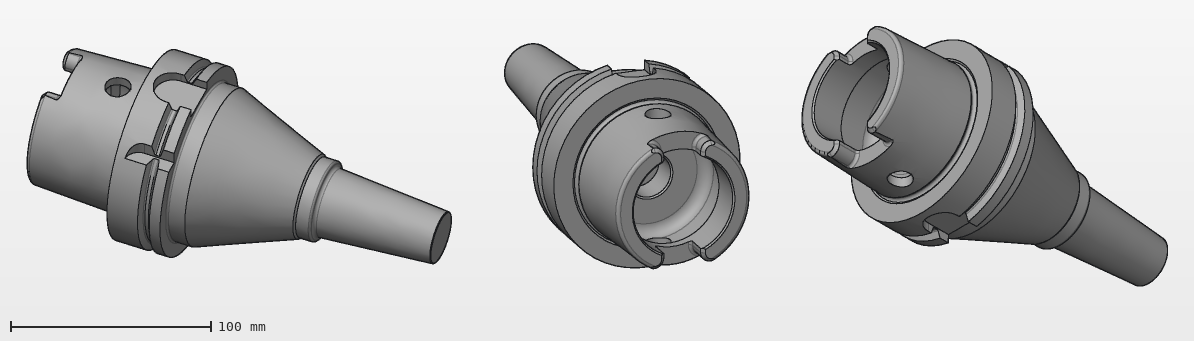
import cadquery as cq
import math

length = 210.0

shank_end_radius = 35.7
shank_base_radius = 37.5
shank_end_round = 1.9

flange_start = 50.0
undercut_start = 47.5
undercut_ramp = 0.8
undercut_depth = 0.6
undercut_face_radius = 39.7
undercut_face_depth = 0.6
undercut_round = 1.7

flange_end = 78.8
flange_radius = 50.0
groove_start = 66.5
groove_end = 72.9
groove_radius = 45.8
groove_wall_run = 1.7
groove_round = 0.8

neck_radius = 41.5
neck_round = 1.0
cone_start = 88.6
cone_end = 139.0
cone_end_radius = 22.3
collar_start = 140.0
collar_end = 148.0
collar_radius = 21.2
collar_round = 1.15
nose_start = 150.0
nose_root_radius = 18.0
nose_root_round = nose_start - collar_end
nose_end_radius = 13.6
nose_end_chamfer = 0.5

bore_radius = 26.7
bore_mouth_chamfer = 0.8
bore_land_end = 19.7
clamp_radius = 31.7
clamp_angle = 60.0
clamp_floor = 46.2
clamp_floor_radius = 25.5
pilot_radius = 12.4
pilot_chamfer = 0.8
pilot_end = 63.0

cross_hole_x = 34.9
cross_hole_radius = 6.5

drive_slot_half_width = 9.9
drive_slot_shoulder = 32.1
drive_slot_round = 5.2
drive_slot_inner = 12.5
drive_slot_floor_round = 1.7
drive_slot_chamfer = 1.9
top_drive_slot_depth = 9.7
bottom_drive_slot_depth = 14.5

keyway_start = 54.8
keyway_width = 20.0
keyway_floor = 43.9
notch_start = 55.0
notch_corner = 31.7
notch_radius = 7.5


def revolve_about_x(profile):
    return profile.close().revolve(360, (0, 0, 0), (1, 0, 0))


def quarter_arc(center_u, center_v, size, angle):
    """Middle point of a quarter round, at the given angle from the first sketch axis."""
    turn = math.radians(angle)
    return center_u + size * math.cos(turn), center_v + size * math.sin(turn)


def make_body():
    undercut_radius = shank_base_radius - undercut_depth
    undercut_floor = flange_start + undercut_face_depth
    undercut_round_start = undercut_floor - undercut_round
    profile = (
        cq.Workplane("XY")
        .moveTo(0, 0)
        .lineTo(0, shank_end_radius - shank_end_round)
        .threePointArc(
            quarter_arc(shank_end_round, shank_end_radius - shank_end_round, shank_end_round, 135),
            (shank_end_round, shank_end_radius),
        )
        .lineTo(undercut_start, shank_base_radius)
        .lineTo(undercut_start + undercut_ramp, undercut_radius)
        .lineTo(undercut_round_start, undercut_radius)
        .threePointArc(
            quarter_arc(undercut_round_start, undercut_radius + undercut_round, undercut_round, -45),
            (undercut_floor, undercut_radius + undercut_round),
        )
        .lineTo(flange_start, undercut_face_radius)
        .lineTo(flange_start, flange_radius)
        .lineTo(flange_end, flange_radius)
        .lineTo(flange_end, neck_radius + neck_round)
        .threePointArc(
            quarter_arc(flange_end + neck_round, neck_radius + neck_round, neck_round, 225),
            (flange_end + neck_round, neck_radius),
        )
        .lineTo(cone_start, neck_radius)
        .lineTo(cone_end, cone_end_radius)
        .lineTo(collar_start, collar_radius)
        .lineTo(collar_end - collar_round, collar_radius)
        .threePointArc(
            quarter_arc(collar_end - collar_round, collar_radius - collar_round, collar_round, 45),
            (collar_end, collar_radius - collar_round),
        )
        .lineTo(collar_end, nose_root_radius + nose_root_round)
        .threePointArc(
            quarter_arc(nose_start, nose_root_radius + nose_root_round, nose_root_round, 225),
            (nose_start, nose_root_radius),
        )
        .lineTo(length - nose_end_chamfer, nose_end_radius)
        .lineTo(length, nose_end_radius - nose_end_chamfer)
        .lineTo(length, 0)
    )
    return revolve_about_x(profile)


def make_gripper_groove():
    clearance = 2.0
    profile = (
        cq.Workplane("XY")
        .moveTo(groove_start, flange_radius + clearance)
        .lineTo(groove_start, flange_radius)
        .lineTo(groove_start + groove_wall_run, groove_radius)
        .lineTo(groove_end - groove_wall_run, groove_radius)
        .lineTo(groove_end, flange_radius)
        .lineTo(groove_end, flange_radius + clearance)
    )
    floor_edges = cq.selectors.RadiusNthSelector(0)
    return revolve_about_x(profile).edges(floor_edges).fillet(groove_round)


def make_clamping_bore():
    flare_run = (clamp_radius - bore_radius) / math.tan(math.radians(clamp_angle))
    floor_round = clamp_radius - clamp_floor_radius
    floor_round_start = clamp_floor - floor_round
    profile = (
        cq.Workplane("XY")
        .moveTo(0, 0)
        .lineTo(0, bore_radius + bore_mouth_chamfer)
        .lineTo(bore_mouth_chamfer, bore_radius)
        .lineTo(bore_land_end, bore_radius)
        .lineTo(bore_land_end + flare_run, clamp_radius)
        .lineTo(floor_round_start, clamp_radius)
        .threePointArc(
            quarter_arc(floor_round_start, clamp_floor_radius, floor_round, 45),
            (clamp_floor, clamp_floor_radius),
        )
        .lineTo(clamp_floor, pilot_radius)
        .lineTo(clamp_floor + pilot_chamfer, pilot_radius - pilot_chamfer)
        .lineTo(pilot_end, pilot_radius - pilot_chamfer)
        .lineTo(pilot_end, 0)
    )
    return revolve_about_x(profile)


def make_cross_hole():
    return (
        cq.Workplane("XY")
        .center(cross_hole_x, 0)
        .circle(cross_hole_radius)
        .extrude(flange_radius, both=True)
    )


def drive_slot_outline(plane, widening):
    """Slot across the shank wall whose sides flare out over a rounded shoulder."""
    half_width = drive_slot_half_width + widening
    shoulder = drive_slot_shoulder - widening
    round_radius = drive_slot_round - widening
    center_y = half_width + round_radius
    center_z = shoulder - round_radius
    reach = shank_base_radius
    return (
        plane.moveTo(-half_width, drive_slot_inner)
        .lineTo(half_width, drive_slot_inner)
        .lineTo(half_width, center_z)
        .threePointArc(quarter_arc(center_y, center_z, round_radius, 135), (center_y, shoulder))
        .lineTo(reach, shoulder)
        .lineTo(reach, flange_radius)
        .lineTo(-reach, flange_radius)
        .lineTo(-reach, shoulder)
        .lineTo(-center_y, shoulder)
        .threePointArc(quarter_arc(-center_y, center_z, round_radius, 45), (-half_width, center_z))
        .close()
    )


def make_drive_slot(depth):
    slot = drive_slot_outline(cq.Workplane("YZ"), 0).extrude(depth)
    slot = slot.faces(">X").edges().fillet(drive_slot_floor_round)
    entry = drive_slot_outline(cq.Workplane("YZ"), drive_slot_chamfer)
    entry = drive_slot_outline(entry.workplane(offset=drive_slot_chamfer), 0).loft(ruled=True)
    return slot.union(entry)


def make_keyway():
    end_radius = keyway_width / 2
    end_center = keyway_start + end_radius
    height = flange_radius - keyway_floor
    profile = (
        cq.Workplane("XY")
        .workplane(offset=keyway_floor)
        .moveTo(flange_end, end_radius)
        .lineTo(end_center, end_radius)
        .threePointArc((keyway_start, 0), (end_center, -end_radius))
        .lineTo(flange_end, -end_radius)
        .close()
    )
    return profile.extrude(height)


def make_orientation_notch():
    center_x = notch_start + notch_radius
    profile = (
        cq.Workplane("XY")
        .workplane(offset=notch_corner)
        .moveTo(flange_end, -notch_corner)
        .lineTo(center_x, -notch_corner)
        .threePointArc(
            quarter_arc(center_x, -notch_corner - notch_radius, notch_radius, 135),
            (notch_start, -notch_corner - notch_radius),
        )
        .lineTo(notch_start, -flange_radius)
        .lineTo(flange_end, -flange_radius)
        .close()
    )
    return profile.extrude(flange_radius - notch_corner)


def turn_to_bottom(tool):
    return tool.rotate((0, 0, 0), (1, 0, 0), 180)


result = (
    make_body()
    .cut(make_gripper_groove())
    .cut(make_clamping_bore())
    .cut(make_cross_hole())
    .cut(make_drive_slot(top_drive_slot_depth))
    .cut(turn_to_bottom(make_drive_slot(bottom_drive_slot_depth)))
    .cut(make_keyway())
    .cut(turn_to_bottom(make_keyway()))
    .cut(make_orientation_notch())
)